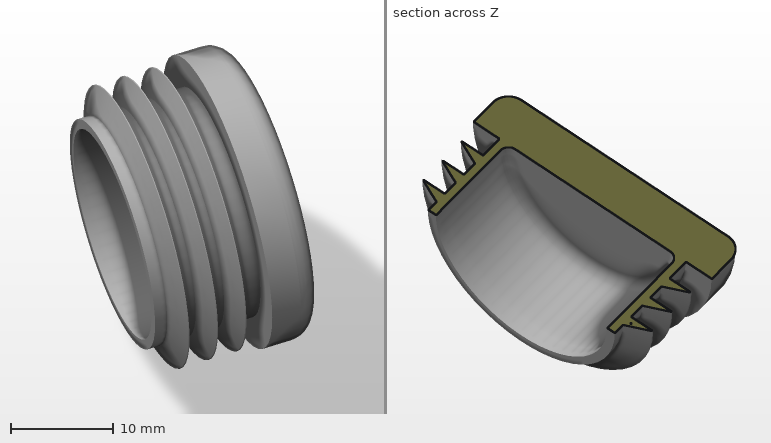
import cadquery as cq

TOTAL_LENGTH = 16.0
HEAD_DIAMETER = 30.0
HEAD_THICKNESS = 5.0
HEAD_EDGE_RADIUS = 2.0

SLEEVE_DIAMETER = 23.5
BORE_DIAMETER = 21.5
BORE_FLOOR_RADIUS = 1.0
FLOOR_THICKNESS = 5.0

FIN_DIAMETER = 29.0
FIN_COUNT = 3
FIN_PITCH = 2.97
FIN_HEIGHT = 1.3
FIN_RIM = 0.08
FIN_RIM_TAPER = 0.05
FIRST_FIN_START = 1.26

SHOULDER_Y = TOTAL_LENGTH - HEAD_THICKNESS
BORE_DEPTH = TOTAL_LENGTH - FLOOR_THICKNESS
FIN_ROOT_OVERLAP = 0.5


def cylinder(diameter, start_y, length):
    """Solid cylinder on the Y axis, running from start_y toward +Y."""
    plane = cq.Workplane("XZ", origin=(0, start_y, 0))
    return plane.circle(diameter / 2).extrude(-length)


def make_head():
    head = cylinder(HEAD_DIAMETER, SHOULDER_Y, HEAD_THICKNESS)
    return head.faces(">Y").edges().fillet(HEAD_EDGE_RADIUS)


def make_bore():
    bore = cylinder(BORE_DIAMETER, 0, BORE_DEPTH)
    return bore.faces(">Y").edges().fillet(BORE_FLOOR_RADIUS)


def make_fin(start_y):
    """Ring that flares toward the head and ends in a thin, slightly tapered rim."""
    sleeve_radius = SLEEVE_DIAMETER / 2
    inner_radius = sleeve_radius - FIN_ROOT_OVERLAP
    tip_radius = FIN_DIAMETER / 2
    end_y = start_y + FIN_HEIGHT
    profile = (
        cq.Workplane("XY")
        .moveTo(inner_radius, start_y)
        .lineTo(sleeve_radius, start_y)
        .lineTo(tip_radius - FIN_RIM_TAPER, end_y - FIN_RIM)
        .lineTo(tip_radius, end_y)
        .lineTo(inner_radius, end_y)
        .close()
    )
    return profile.revolve(360, (0, 0, 0), (0, 1, 0))


plug = make_head().union(cylinder(SLEEVE_DIAMETER, 0, SHOULDER_Y))
for index in range(FIN_COUNT):
    plug = plug.union(make_fin(FIRST_FIN_START + index * FIN_PITCH))

result = plug.cut(make_bore())